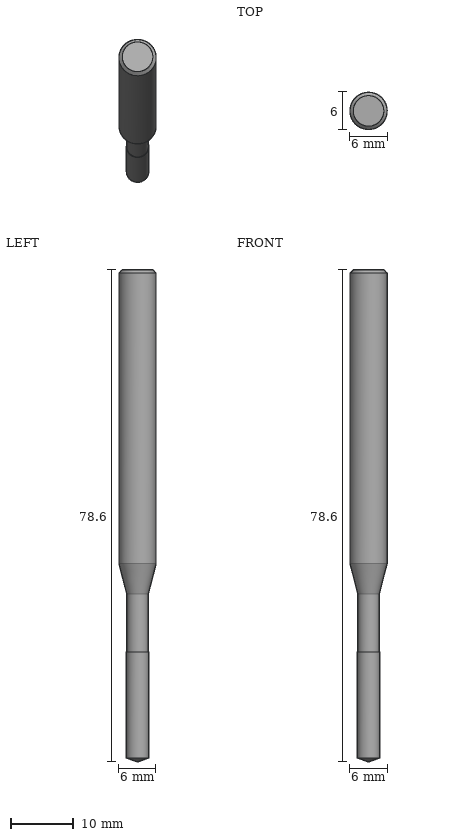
import cadquery as cq
import math

total_length = 78.6
shank_radius = 3.0
shank_chamfer = 0.55

neck_radius = 1.7
neck_top = 26.8
cone_top = 31.7

cutter_radius = 1.8
cutter_top = 17.6
point_angle = 140.0
point_height = cutter_radius / math.tan(math.radians(point_angle / 2))


def revolve_about_z(profile):
    """Turn a closed (radius, height) outline into a solid around the Z axis."""
    outline = [(-radius, height) for radius, height in profile]
    return cq.Workplane("YZ").polyline(outline).close().revolve(360, (0, 0), (0, 1))


def make_holder():
    """Chamfered shank, tapering down to the neck above the cutter."""
    return revolve_about_z([
        (0, cutter_top),
        (neck_radius, cutter_top),
        (neck_radius, neck_top),
        (shank_radius, cone_top),
        (shank_radius, total_length - shank_chamfer),
        (shank_radius - shank_chamfer, total_length),
        (0, total_length),
    ])


def make_cutter():
    """Cylindrical cutting end with a shallow conical point."""
    return revolve_about_z([
        (0, 0),
        (cutter_radius, point_height),
        (cutter_radius, cutter_top),
        (0, cutter_top),
    ])


holder = make_holder()
cutter = make_cutter()

result = cq.Compound.makeCompound([holder.val(), cutter.val()])